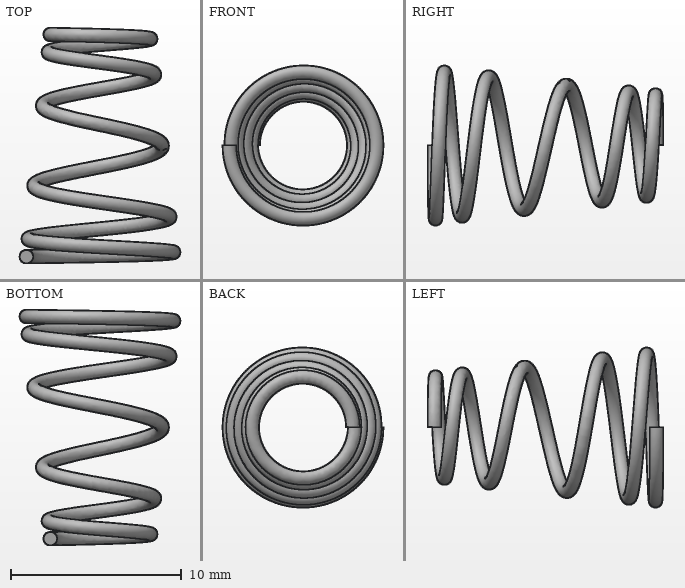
import cadquery as cq
import math

wire_diameter = 0.8
large_coil_radius = 4.325
small_coil_radius = 2.925
coil_height = 13.0
turns = 5
points_per_turn = 24


def rise_along_axis(turn):
    """Height of the wire centre: parabolic from each end, joined at mid-length."""
    progress = turn / turns
    if progress <= 0.5:
        return 2 * coil_height * progress**2
    return coil_height * (1 - 2 * (1 - progress)**2)


def wire_centre(turn):
    """Wire centre after a number of turns, on a cone that narrows toward +Y."""
    height = rise_along_axis(turn)
    radius = large_coil_radius + (small_coil_radius - large_coil_radius) * height / coil_height
    angle = 2 * math.pi * turn
    return cq.Vector(-radius * math.cos(angle), height, -radius * math.sin(angle))


def make_wire_path():
    """Smooth curve through the wire centres, heading along -Z at both ends."""
    point_count = turns * points_per_turn + 1
    points = [wire_centre(i / points_per_turn) for i in range(point_count)]
    return cq.Workplane("XY").spline(points)


def make_spring():
    """Round wire swept along the coil, with both ends cut square at Z = 0."""
    start = wire_centre(0)
    wire_section = cq.Workplane("XY").center(start.x, start.y).circle(wire_diameter / 2)
    return wire_section.sweep(make_wire_path(), isFrenet=True)


result = make_spring()